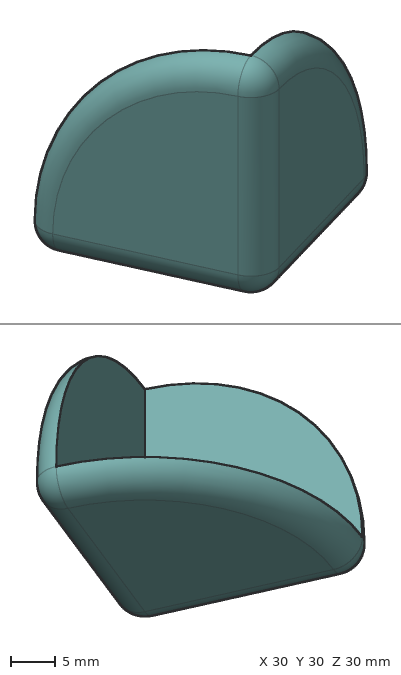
import cadquery as cq

overall_size = 30.0
wall_thickness = 3.5
inner_radius = overall_size - wall_thickness
flat_radius = inner_radius - wall_thickness
quarter_turn = 90

along_x = cq.Vector(-1, 0, 0)
along_y = cq.Vector(0, 1, 0)
along_z = cq.Vector(0, 0, 1)


def wall_profile(edge_direction, outward_normal):
    """Section through a wall along an inner edge, with a quarter-round rim."""
    section_plane = cq.Plane(
        origin=(0, 0, 0),
        xDir=edge_direction,
        normal=edge_direction.cross(outward_normal),
    )
    return (
        cq.Workplane(section_plane)
        .lineTo(inner_radius, 0)
        .radiusArc((flat_radius, wall_thickness), -wall_thickness)
        .lineTo(0, wall_thickness)
        .close()
    )


def quarter_disc_wall(edge_direction, outward_normal):
    """Sweep the section about the wall normal."""
    return wall_profile(edge_direction, outward_normal).revolve(quarter_turn, (0, 0), (0, 1))


def rounded_edge(edge_direction, outward_normal):
    """Sweep the section about the inner edge to join two walls."""
    return wall_profile(edge_direction, outward_normal).revolve(quarter_turn, (0, 0), (1, 0))


def rounded_corner():
    """Eighth of a ball joining the three rounded edges."""
    octant = cq.Workplane("XY").box(
        wall_thickness, wall_thickness, wall_thickness, centered=False
    ).translate((0, -wall_thickness, -wall_thickness))
    return cq.Workplane("XY").sphere(wall_thickness).intersect(octant)


result = rounded_corner()
for edge_direction, outward_normal in (
    (along_y, -along_x),
    (along_z, -along_y),
    (along_x, -along_z),
):
    result = result.union(quarter_disc_wall(edge_direction, outward_normal))
    result = result.union(rounded_edge(edge_direction, outward_normal))